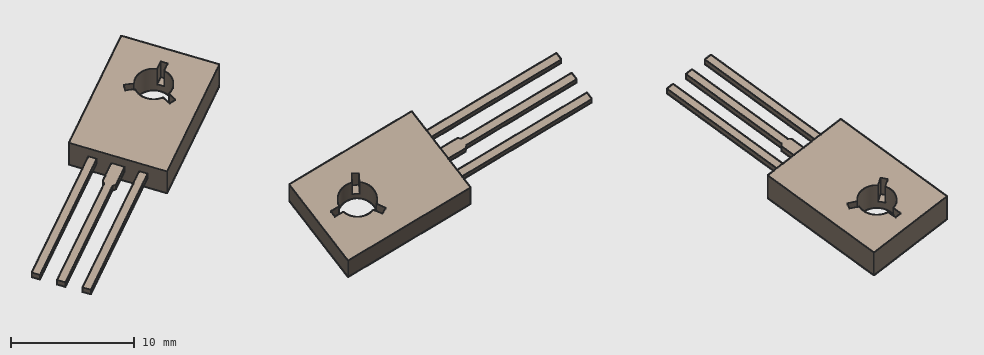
import cadquery as cq

body_width = 8.5
body_length = 12.0
body_height = 2.8

hole_diameter = 3.2
hole_to_back = 3.8
notch_count = 3
notch_width = 0.6
notch_reach = 2.4
notch_depth = 2.0

overall_length = 25.0
lead_length = overall_length - body_length
lead_pitch = 2.2
lead_width = 0.72
lead_thickness = 0.6
lead_bottom = 1.2

root_width = 1.15
root_length = 2.0
taper_length = 0.2

hole_y = body_length - hole_to_back


def make_body():
    """Rectangular body with the mounting hole and its notches."""
    body = cq.Workplane("XY").box(body_width, body_length, body_height, centered=(True, False, False))
    hole = cq.Workplane("XY").center(0, hole_y).circle(hole_diameter / 2).extrude(body_height)
    body = body.cut(hole)
    notch = (
        cq.Workplane("XY", origin=(0, hole_y, body_height - notch_depth))
        .box(notch_width, notch_reach, notch_depth, centered=(True, False, False))
    )
    for index in range(notch_count):
        angle = index * 360 / notch_count
        body = body.cut(notch.rotate((0, hole_y, 0), (0, hole_y, 1), angle))
    return body


def make_lead(x):
    """Straight lead running from the body towards -Y."""
    return (
        cq.Workplane("XY", origin=(x, -lead_length, lead_bottom))
        .box(lead_width, lead_length, lead_thickness, centered=(True, False, False))
    )


def make_root():
    """Wide root of the middle lead, tapering down to the lead width."""
    return (
        cq.Workplane("XY", origin=(0, 0, lead_bottom))
        .polyline([
            (-root_width / 2, 0),
            (-root_width / 2, -root_length),
            (-lead_width / 2, -root_length - taper_length),
            (lead_width / 2, -root_length - taper_length),
            (root_width / 2, -root_length),
            (root_width / 2, 0),
        ])
        .close()
        .extrude(lead_thickness)
    )


part = make_body().union(make_root())
for side in (-1, 0, 1):
    part = part.union(make_lead(side * lead_pitch))

result = part.clean()